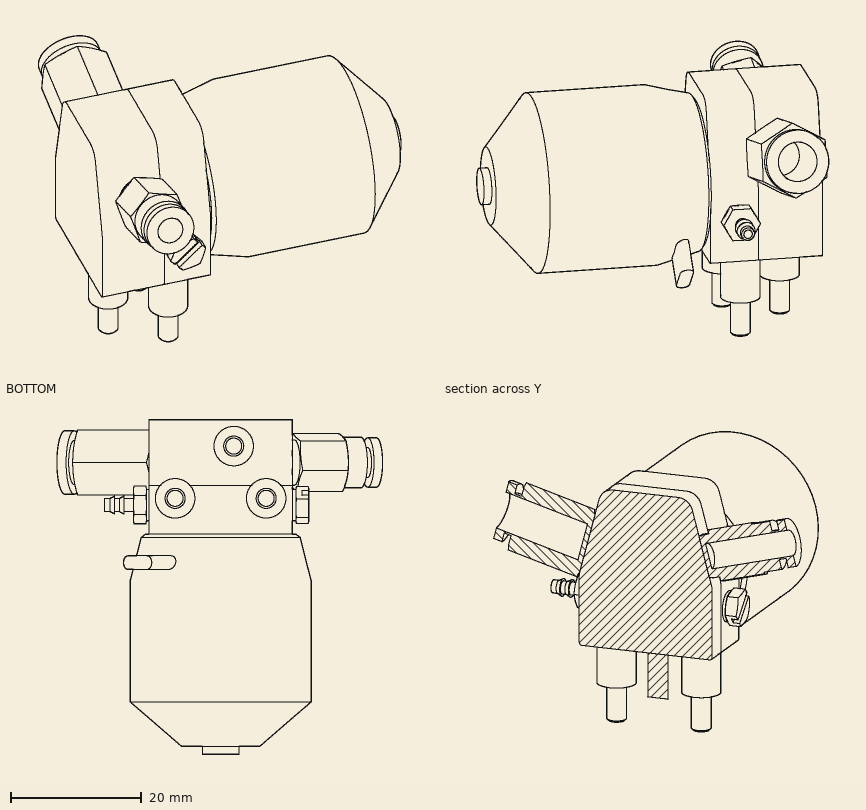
import cadquery as cq
import math


BLOCK_WIDTH = 22.0
BLOCK_TOP = 14.25
BLOCK_BOTTOM = -11.2
SHOULDER_Z = 0.25
FLANK_ANGLE = 15
FRONT_BLOCK_DEPTH = 10.05
BLOCK_DEPTH = 17.55
UPPER_FILLET = 2.5
BOTTOM_FILLET = 0.5

CAN_RADIUS = 13.9
CAN_BASE_RADIUS = 11.55
CAN_TAPER_RADIUS = 12.2
CAN_END_RADIUS = 6.0
KNOB_RADIUS = 2.8
CAN_TAPER_Y = 18.05
CAN_BODY_Y = 24.7
CAN_CONE_Y = 43.2
CAN_END_Y = 50.0
KNOB_END_Y = 51.25
CAN_TURN = 225

TAB_WIDTH = 6.15
TAB_THICKNESS = 2.1
TAB_REACH = 18.0
TAB_ROOT = 7.7
TAB_Y = 21.9

FITTING_Y = 6.55
FITTING_Z = 5.2
FITTING_LENGTH = 14.65
FITTING_BORE_DEPTH = 13.9
LARGE_HEX = 10.0
LARGE_HEX_END = 12.1
LARGE_NECK_RADIUS = 3.4
LARGE_RING_START = 13.15
LARGE_RING_RADIUS = 4.85
LARGE_BORE_RADIUS = 3.0
SMALL_SEAT_RADIUS = 3.4
SMALL_SEAT_END = 0.45
SMALL_COLLAR_RADIUS = 3.5
SMALL_HEX = 8.0
SMALL_HEX_START = 1.65
SMALL_HEX_END = 9.15
SMALL_HEX_TURN = 15
SMALL_SLEEVE_RADIUS = 3.9
SMALL_SLEEVE_END = 12.2
SMALL_NECK_RADIUS = 2.3
SMALL_RING_START = 13.25
SMALL_RING_RADIUS = 3.8
SMALL_BORE_RADIUS = 2.0

PORT_Y = 13.05
PORT_Z = -4.35
PORT_HEX = 5.0
PORT_WASHER_RADIUS = 2.4
NIPPLE_HEX_START = 0.35
NIPPLE_HEX_END = 2.35
NIPPLE_LENGTH = 6.8
NIPPLE_RADIUS = 1.0
NIPPLE_BORE_RADIUS = 0.65
BARB_RADIUS = 1.4
BARB_LENGTH = 0.7
BARB_TIPS = (3.8, 5.25)
PLUG_HEX_START = 0.5
PLUG_HEX_END = 2.5
PLUG_HEX_TURN = 12
PLUG_SLOT_WIDTH = 1.0
PLUG_SLOT_DEPTH = 1.1

STUD_PLACES = ((-6.95, 12.05), (2.0, 4.05), (6.95, 12.05))
STUD_COLLAR_RADIUS = 3.0
STUD_COLLAR_LENGTH = 7.0
STUD_LENGTH = 13.0
STUD_RADIUS = 1.55
STUD_CHAMFER = 0.3

HEX_HALF_STEP = 30
HEX_CHAMFER_ANGLE = 15

FLANK_SIN = math.sin(math.radians(FLANK_ANGLE))
FLANK_COS = math.cos(math.radians(FLANK_ANGLE))
FLANK_TAN = math.tan(math.radians(FLANK_ANGLE))
HALF_WIDTH = BLOCK_WIDTH / 2
HALF_TOP = HALF_WIDTH - (BLOCK_TOP - SHOULDER_Z) * FLANK_TAN
FITTING_X = HALF_WIDTH - (FITTING_Z - SHOULDER_Z) * FLANK_TAN


def turned(profile):
    """Revolve (radius, height) points about the local Z axis."""
    return cq.Workplane("XZ").polyline(profile).close().revolve(360, (0, 0), (0, 1))


def cylinder(radius, start, end):
    """Round disc along the local Z axis between two heights."""
    return cq.Workplane("XY").workplane(offset=start).circle(radius).extrude(end - start)


def chamfered_hex(across_flats, start, end, turn=0):
    """Hexagon along local Z; both ends are turned down to a circle as wide as the flats."""
    corner = across_flats / 2 / math.cos(math.radians(HEX_HALF_STEP))
    rim = across_flats / 2
    drop = (corner - rim) * math.tan(math.radians(HEX_CHAMFER_ANGLE))
    envelope = turned(
        [(0, start), (rim, start), (corner, start + drop), (corner, end - drop), (rim, end), (0, end)]
    )
    prism = cq.Workplane("XY").workplane(offset=start).polygon(6, 2 * corner).extrude(end - start)
    return prism.intersect(envelope).rotate((0, 0, 0), (0, 0, 1), turn)


def placed(body, origin, x_direction, outward):
    """Move a body so that its local Z axis points outward from the origin."""
    return body.val().moved(cq.Plane(origin, x_direction, outward).location)


def block(front_y, depth):
    """One slice of the valve block, whose flanks lean inward above the shoulder."""
    outline = [
        (-HALF_WIDTH, BLOCK_BOTTOM),
        (HALF_WIDTH, BLOCK_BOTTOM),
        (HALF_WIDTH, SHOULDER_Z),
        (HALF_TOP, BLOCK_TOP),
        (-HALF_TOP, BLOCK_TOP),
        (-HALF_WIDTH, SHOULDER_Z),
    ]
    body = cq.Workplane("XZ", origin=(0, front_y, 0)).polyline(outline).close().extrude(-depth)
    body = body.edges("|Y").edges("<Z").fillet(BOTTOM_FILLET)
    upper = cq.selectors.BoxSelector(
        (-BLOCK_WIDTH, front_y - 0.5, SHOULDER_Z - 0.05), (BLOCK_WIDTH, front_y + depth + 0.5, BLOCK_TOP + 0.5)
    )
    return body.edges("|Y").edges(upper).fillet(UPPER_FILLET).val()


def can():
    """Turned can with an end knob and a flat tab; built with the tab along local Z."""
    profile = [
        (0, BLOCK_DEPTH),
        (CAN_BASE_RADIUS, BLOCK_DEPTH),
        (CAN_TAPER_RADIUS, CAN_TAPER_Y),
        (CAN_RADIUS, CAN_BODY_Y),
        (CAN_RADIUS, CAN_CONE_Y),
        (CAN_END_RADIUS, CAN_END_Y),
        (KNOB_RADIUS, CAN_END_Y),
        (KNOB_RADIUS, KNOB_END_Y),
        (0, KNOB_END_Y),
    ]
    body = cq.Workplane("XY").polyline(profile).close().revolve(360, (0, 0), (0, 1))
    tab = (
        cq.Workplane("XY", origin=(0, TAB_Y, TAB_ROOT))
        .slot2D(TAB_WIDTH, TAB_THICKNESS)
        .extrude(TAB_REACH - TAB_ROOT)
    )
    return body.union(tab).rotate((0, 0, 0), (0, 1, 0), CAN_TURN).val()


def large_fitting():
    """Tube fitting on the -X flank: a hexagon, a neck and a release ring, with a blind tube bore."""
    body = (
        chamfered_hex(LARGE_HEX, 0, LARGE_HEX_END)
        .union(cylinder(LARGE_NECK_RADIUS, LARGE_HEX_END, LARGE_RING_START))
        .union(cylinder(LARGE_RING_RADIUS, LARGE_RING_START, FITTING_LENGTH))
        .cut(cylinder(LARGE_BORE_RADIUS, FITTING_LENGTH - FITTING_BORE_DEPTH, FITTING_LENGTH))
    )
    origin = (-FITTING_X, FITTING_Y, FITTING_Z)
    return placed(body, origin, (FLANK_SIN, 0, FLANK_COS), (-FLANK_COS, 0, FLANK_SIN))


def small_fitting():
    """Tube fitting on the +X flank: a seat, a hexagon, a sleeve, a neck and a release ring."""
    body = (
        cylinder(SMALL_SEAT_RADIUS, 0, SMALL_SEAT_END)
        .union(cylinder(SMALL_COLLAR_RADIUS, SMALL_SEAT_END, SMALL_HEX_START))
        .union(chamfered_hex(SMALL_HEX, SMALL_HEX_START, SMALL_HEX_END, SMALL_HEX_TURN))
        .union(cylinder(SMALL_SLEEVE_RADIUS, SMALL_HEX_END, SMALL_SLEEVE_END))
        .union(cylinder(SMALL_NECK_RADIUS, SMALL_SLEEVE_END, SMALL_RING_START))
        .union(cylinder(SMALL_RING_RADIUS, SMALL_RING_START, FITTING_LENGTH))
        .cut(cylinder(SMALL_BORE_RADIUS, FITTING_LENGTH - FITTING_BORE_DEPTH, FITTING_LENGTH))
    )
    origin = (FITTING_X, FITTING_Y, FITTING_Z)
    return placed(body, origin, (-FLANK_SIN, 0, FLANK_COS), (FLANK_COS, 0, FLANK_SIN))


def nipple():
    """Barbed hose nipple with a hexagon and a washer face."""
    body = (
        cylinder(PORT_WASHER_RADIUS, 0, NIPPLE_HEX_START)
        .union(chamfered_hex(PORT_HEX, NIPPLE_HEX_START, NIPPLE_HEX_END))
        .union(cylinder(NIPPLE_RADIUS, NIPPLE_HEX_END, NIPPLE_LENGTH))
    )
    for wide_end in BARB_TIPS:
        narrow_end = wide_end + BARB_LENGTH
        body = body.union(
            turned([(0, wide_end), (BARB_RADIUS, wide_end), (NIPPLE_RADIUS, narrow_end), (0, narrow_end)])
        )
    body = body.cut(cylinder(NIPPLE_BORE_RADIUS, NIPPLE_HEX_END, NIPPLE_LENGTH))
    return placed(body, (-HALF_WIDTH, PORT_Y, PORT_Z), (0, 1, 0), (-1, 0, 0))


def plug():
    """Hexagon plug with a slot across its outer face, from flat to opposite flat."""
    slot = (
        cq.Workplane("XY", origin=(0, 0, PLUG_HEX_END - PLUG_SLOT_DEPTH))
        .rect(2 * PORT_HEX, PLUG_SLOT_WIDTH)
        .extrude(PLUG_SLOT_DEPTH)
        .rotate((0, 0, 0), (0, 0, 1), PLUG_HEX_TURN + HEX_HALF_STEP)
    )
    body = (
        cylinder(PORT_WASHER_RADIUS, 0, PLUG_HEX_START)
        .union(chamfered_hex(PORT_HEX, PLUG_HEX_START, PLUG_HEX_END, PLUG_HEX_TURN))
        .cut(slot)
    )
    return placed(body, (HALF_WIDTH, PORT_Y, PORT_Z), (0, 1, 0), (1, 0, 0))


def stud(x, y):
    """Stepped stud that hangs from the bottom of the block."""
    profile = [
        (0, 0),
        (STUD_COLLAR_RADIUS, 0),
        (STUD_COLLAR_RADIUS, -STUD_COLLAR_LENGTH),
        (STUD_RADIUS, -STUD_COLLAR_LENGTH),
        (STUD_RADIUS, STUD_CHAMFER - STUD_LENGTH),
        (STUD_RADIUS - STUD_CHAMFER, -STUD_LENGTH),
        (0, -STUD_LENGTH),
    ]
    return turned(profile).translate((x, y, BLOCK_BOTTOM)).val()


front_block = block(0, FRONT_BLOCK_DEPTH)
rear_block = block(FRONT_BLOCK_DEPTH, BLOCK_DEPTH - FRONT_BLOCK_DEPTH)
studs = [stud(x, y) for x, y in STUD_PLACES]

result = cq.Compound.makeCompound(
    [front_block, rear_block, can(), large_fitting(), small_fitting(), nipple(), plug(), *studs]
)